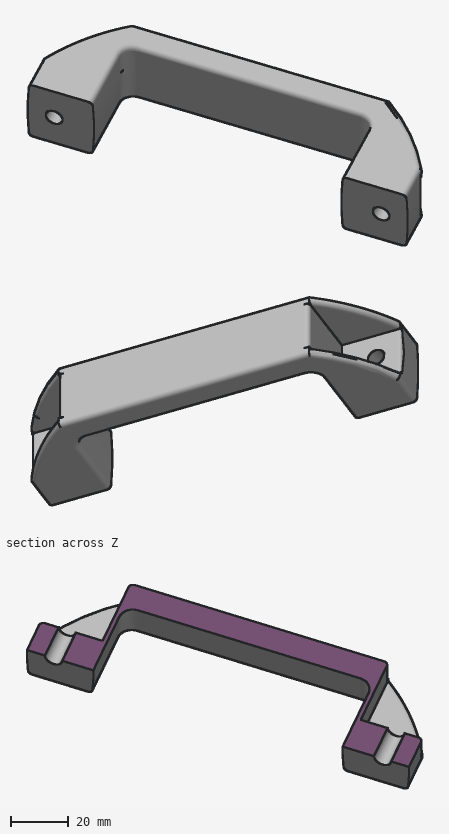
import cadquery as cq

length = 141.9
depth = 40.0
height = 26.0

leg_width = 24.8
bar_thickness = 10.1
face_crown = 0.5
inner_corner_radius = 5.0
edge_radius = 1.8

shoulder_start = 13.3
shoulder_width = 23.0
shoulder_bulge = 2.0

pocket_height = 19.0
pocket_width = shoulder_width
rim_radius = 1.7

hole_diameter = 6.2
hole_inset = 10.0

margin = 0.1
half_length = length / 2
half_height = height / 2
above_mounting_plane = cq.selectors.BoxSelector((-length, margin, -length), (length, length, length))
opening_half = half_length - leg_width
opening_depth = depth - bar_thickness


def crowned_plan():
    """Column along Y whose two end faces bulge outward."""
    edge_x = half_length - face_crown
    return (
        cq.Workplane("XZ")
        .moveTo(-edge_x, -half_height)
        .lineTo(edge_x, -half_height)
        .threePointArc((half_length, 0), (edge_x, half_height))
        .lineTo(-edge_x, half_height)
        .threePointArc((-half_length, 0), (-edge_x, -half_height))
        .close()
        .extrude(-depth)
    )


def shoulder_profile():
    """Outline of the handle with an arc shoulder at each end."""
    back_x = half_length - shoulder_width
    rise = depth - shoulder_start
    chord = (shoulder_width**2 + rise**2) ** 0.5
    middle_x = (half_length + back_x) / 2 + shoulder_bulge * rise / chord
    middle_y = (shoulder_start + depth) / 2 + shoulder_bulge * shoulder_width / chord
    return (
        cq.Workplane("XY")
        .moveTo(-half_length, 0)
        .lineTo(half_length, 0)
        .lineTo(half_length, shoulder_start)
        .threePointArc((middle_x, middle_y), (back_x, depth))
        .lineTo(-back_x, depth)
        .threePointArc((-middle_x, middle_y), (-half_length, shoulder_start))
        .close()
        .extrude(half_height, both=True)
    )


def hand_opening():
    """Space between the legs, with leg faces that bulge into it."""
    edge_x = opening_half + face_crown
    between_legs = (
        cq.Workplane("XZ")
        .moveTo(-edge_x, -half_height)
        .lineTo(edge_x, -half_height)
        .threePointArc((opening_half, 0), (edge_x, half_height))
        .lineTo(-edge_x, half_height)
        .threePointArc((-opening_half, 0), (-edge_x, -half_height))
        .close()
        .extrude(-opening_depth)
    )
    corner_edges = cq.selectors.BoxSelector(
        (-length, opening_depth / 2, -height / 3), (length, depth, height / 3)
    )
    return between_legs.edges(corner_edges).fillet(inner_corner_radius)


def pocket(side):
    """Block removed from one shoulder; side is -1 or 1."""
    center_x = side * (half_length - pocket_width / 2)
    return (
        cq.Workplane("XY", origin=(center_x, shoulder_start, 0))
        .box(pocket_width, depth, pocket_height, centered=(True, False, True))
    )


def pocketed(blank):
    return blank.cut(pocket(-1)).cut(pocket(1))


def rounded_outline(blank):
    """Blank with the borders of its top and bottom faces rounded, except at the mounting plane."""
    borders = blank.faces("<Z or >Z").edges().edges(above_mounting_plane)
    return borders.fillet(edge_radius)


def rim_sides_rounded(blank):
    """Pocketed blank with the curved upper and lower rims of the pockets rounded."""
    solid = pocketed(blank)
    inner_sides = cq.selectors.BoxSelector(
        (-length, 0, -pocket_height / 2 - margin), (length, length, pocket_height / 2 + margin)
    )
    return solid.edges("%CIRCLE").edges(inner_sides).fillet(rim_radius)


def rim_ends_rounded(blank):
    """Pocketed blank with the straight rims at both ends of the pockets rounded."""
    solid = pocketed(blank)
    at_mid_height = cq.selectors.BoxSelector(
        (-length, shoulder_start - margin, -margin), (length, length, margin)
    )
    upright_edges = solid.edges("|Z").edges(at_mid_height)
    inner_rims = upright_edges.edges(">Y")
    outer_rims = upright_edges.edges("<X or >X")
    return inner_rims.add(outer_rims).fillet(rim_radius)


def screw_hole(side):
    return (
        cq.Workplane("XZ", origin=(side * (half_length - hole_inset), 0, 0))
        .circle(hole_diameter / 2)
        .extrude(-depth)
    )


def rounded_opening(solid):
    """Cut the hand opening and round its borders on the top and bottom faces."""
    cut_solid = solid.cut(hand_opening())
    reach = opening_half + face_crown + margin
    opening_borders = cq.selectors.BoxSelector(
        (-reach, margin, -height), (reach, opening_depth + margin, height)
    )
    return cut_solid.faces("<Z or >Z").edges().edges(opening_borders).fillet(edge_radius)


blank = shoulder_profile()
column = crowned_plan().edges("|Y").fillet(edge_radius)

body = rim_sides_rounded(blank).intersect(rim_ends_rounded(blank))
body = body.intersect(rounded_outline(blank)).intersect(column)
body = rounded_opening(body)
for side in (-1, 1):
    body = body.cut(screw_hole(side))

result = body